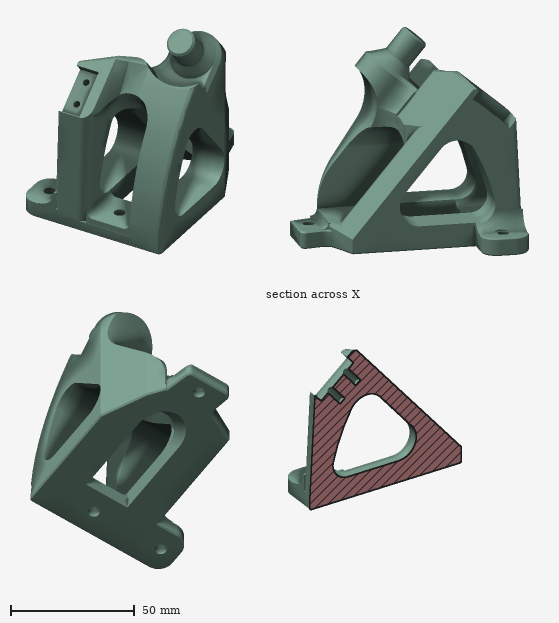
import cadquery as cq
import math

slope_angle = 50
slope_cos = math.cos(math.radians(slope_angle))
slope_sin = math.sin(math.radians(slope_angle))

body_left = 16.1
body_right = 66.0
body_back = 77.4
left_wall_back = 70.8
rear_corner_x = 29.9
edge_break = 0.6
far = 133.9

front_arc_radius = 91.95
front_arc_top_z = 84.8
front_edge_radius = 2.0
post_right = 31.0
post_foot_z = 4.7
post_block_top_z = 80.3
post_head_rise = 35.4
post_head_climb = 38.4
post_left_radius = 1.9
post_right_radius = 4.2
blend_right = 43.65
blend_low_rise = 37.5
blend_high_rise = 71.4
blend_back_rise = 46.4
blend_back_climb = 13.4
blend_mid = 35.7
blend_mid_low_z = 53.6
blend_mid_high = (29.5, 73.6)
blend_low_z = 57.1
blend_high_z = 72.3

roof_left_rise = 58.3
roof_tilt = 0.48
ridge_radius = 5.4

pin_x = 54.45
pin_rise = 78.1
pin_radius = 6.03
pin_tip_climb = 37.9
pin_chamfer = 0.9
cone_top_climb = 26.3
head_radius = body_right - pin_x
head_front_climb = 21.9
head_back_climb = 12.9
head_front_chamfer = 1.7
scoop_radius = 17
neck_radius = 7.7

rim_corners = [(body_left, 66.15), (30.9, 70.0), (36.15, 68.65), (42.85, 67.7)]
rim_scoop_low = (pin_x, 63.65)
rim_right = (body_right, 65.6)

fin_rise = 72.5
fin_back = 76.95
fin_bend_radius = 26.8
fin_taper_x = 51.9
fin_taper_mid = (56.9, 70.4)
fin_taper_end = (body_right, 51.3)

bay_left = post_right
bay_right = 51.1
bay_radius = (bay_right - bay_left) / 2
bay_x = (bay_left + bay_right) / 2
floor_z = 10.1
ear_top = 7.3
arch_top_z = 45.3
front_arch_z = 58.5
window_corner_radius = 3.0
bay_top_rise = 53.1
rear_round_width = 7.0
rear_round_left_y = 39.55
rear_round_right_y = 45.3
well_front = 19.6
gap_corner = (37.7, 46.8)
gap_mid = (41.6, 50)
gap_end = (42.9, 55.35)
side_window_arc_radius = 82.6
side_window_radius = 8.5
side_window_front_radius = 7.1

ear_back = 19.9
ear_radius = 6.8
bolt_diameter = 4.8
bolt_y = 10.2
left_bolt_x = 8
front_bolt_x = 40.9
rear_bolt = (39.9, 83.4)
spotface_diameter = 7.3
ear_fillet = 7.1
rear_ear_back = 89.3
rear_ear_front_x = (29.8, 51.5)
rear_ear_back_x = (27.85, 48.7)
rear_ear_radius = 2.2
rear_hollow_start = (27.7, 76.3)
rear_hollow_mid = (29.0, 77.8)
rear_hollow_end = (29.4, 80.1)
rear_ear_fillet = 2.7
rear_bevel_width = 3.1
rear_bevel_drop = 1.25

pocket_low_rise = 35.7
pocket_high_rise = 55.9
pocket_floor_climb = 33.9
pocket_floor_x = 25.9
pocket_face_x = 26.5
screw_diameter = 2.9
screw_x = 20.9
screw_rises = (41.5, 51.3)
screw_depth = 8.9


def side_point(rise, climb):
    """(Y, Z) of a point given in slope coordinates."""
    y = rise * slope_sin - climb * slope_cos
    z = rise * slope_cos + climb * slope_sin
    return (y, z)


def side_plane(x):
    """Sketch plane at X = x with sketch axes Y and Z, facing +X."""
    return cq.Workplane("YZ", origin=(x, 0, 0))


def slope_plane(climb):
    """Sketch plane square to the slope with sketch axes X and rise, facing up the slope."""
    origin = (0, -climb * slope_cos, climb * slope_sin)
    return cq.Workplane(cq.Plane(origin, (1, 0, 0), (0, -slope_cos, slope_sin)))


def front_arc_y(z, radius=front_arc_radius):
    """Y of an arc about the centre of the curved front."""
    return front_arc_radius - math.sqrt(radius ** 2 - z ** 2)


def make_post():
    """Flat, leaning post on the left with a head square to the slope."""
    head_foot_y, head_foot_z = side_point(post_head_rise, post_head_climb)
    lean = head_foot_y / (head_foot_z - post_foot_z)
    top_z = post_block_top_z
    top_y = lean * (top_z - post_foot_z)
    edge_mid = (top_y / 2, (post_foot_z + top_z) / 2)
    left_edge = cq.selectors.NearestToPointSelector((body_left, *edge_mid))
    right_edge = cq.selectors.NearestToPointSelector((post_right, *edge_mid))
    below_head = slope_plane(post_head_climb).rect(2 * far, 2 * far).extrude(-2 * far)
    return (
        side_plane(body_left)
        .polyline([(0, post_foot_z), (top_y, top_z), (body_back, top_z), (body_back, post_foot_z)])
        .close()
        .extrude(post_right - body_left)
        .edges(left_edge).fillet(post_left_radius)
        .edges(right_edge).fillet(post_right_radius)
        .intersect(below_head)
    )


def make_curved_front():
    """Right part of the body with its front bowed back in an arc."""
    top_z = front_arc_top_z
    mid_z = top_z / 2
    right_edge = cq.selectors.NearestToPointSelector((body_right, front_arc_y(mid_z), mid_z))
    return (
        side_plane(post_right)
        .moveTo(0, 0)
        .threePointArc((front_arc_y(mid_z), mid_z), (front_arc_y(top_z), top_z))
        .lineTo(body_back, top_z)
        .lineTo(body_back, 0)
        .close()
        .extrude(body_right - post_right)
        .edges(right_edge)
        .fillet(front_edge_radius)
    )


def make_blend():
    """Ruled wedge leading from the head of the post back to the curved front."""
    back_edge = [
        side_point(blend_high_rise, blend_back_climb),
        side_point(blend_back_rise, blend_back_climb),
    ]
    post_side = [
        side_point(blend_low_rise, post_head_climb),
        side_point(blend_high_rise, post_head_climb),
        *back_edge,
    ]
    mid_low = (front_arc_y(blend_mid_low_z), blend_mid_low_z)
    mid_z = (blend_low_z + blend_high_z) / 2
    return (
        side_plane(post_right)
        .polyline(post_side).close()
        .workplane(offset=blend_mid - post_right)
        .polyline([mid_low, blend_mid_high, *back_edge]).close()
        .workplane(offset=blend_right - blend_mid)
        .moveTo(front_arc_y(blend_low_z), blend_low_z)
        .threePointArc((front_arc_y(mid_z), mid_z), (front_arc_y(blend_high_z), blend_high_z))
        .lineTo(*back_edge[0])
        .lineTo(*back_edge[1])
        .close()
        .loft(ruled=True)
    )


def roof_rise(x):
    """Rise of the tilted roof at a given X."""
    return roof_left_rise + roof_tilt * (x - body_left)


def make_roof_section():
    """Everything below the tilted roof and clear of the scoop around the pin."""
    roof = (
        slope_plane(-far)
        .polyline([
            (body_left, -far),
            (body_left, roof_rise(body_left)),
            (body_right, roof_rise(body_right)),
            (body_right, -far),
        ])
        .close()
        .extrude(2 * far)
    )
    scoop = slope_plane(-far).center(pin_x, pin_rise).circle(scoop_radius).extrude(2 * far)
    ridge = cq.selectors.BoxSelector((bay_left, -far, -far), (pin_x - 0.9, far, far), boundingbox=False)
    return roof.cut(scoop).edges(ridge).fillet(ridge_radius)


def make_rim_cap():
    """Everything below the flat rim along the front edge of the roof."""
    return (
        cq.Workplane("XZ")
        .moveTo(body_left, 0)
        .polyline(rim_corners, includeCurrent=True)
        .threePointArc(rim_scoop_low, rim_right)
        .lineTo(body_right, 0)
        .close()
        .extrude(-far)
    )


def make_head_and_fin():
    """Round head square to the slope, flowing down its back into the fin."""
    bend_centre_y = fin_back - fin_bend_radius
    bend_start_z = (fin_rise - fin_bend_radius - bend_centre_y * slope_sin) / slope_cos
    bend_centre = (bend_centre_y, bend_start_z)
    half_turn = math.radians((90 - slope_angle) / 2)
    bend_mid = (
        bend_centre[0] + fin_bend_radius * math.cos(half_turn),
        bend_centre[1] + fin_bend_radius * math.sin(half_turn),
    )
    bend_end = (
        bend_centre[0] + fin_bend_radius * slope_sin,
        bend_centre[1] + fin_bend_radius * slope_cos,
    )
    top_rise = pin_rise + head_radius
    hollow_radius = top_rise - fin_rise
    hollow_mid = hollow_radius * math.sqrt(0.5)
    hollow_climb = head_back_climb - hollow_radius
    profile = (
        side_plane(body_left)
        .moveTo(*side_point(roof_left_rise, head_front_climb))
        .lineTo(*side_point(top_rise, head_front_climb))
        .lineTo(*side_point(top_rise, head_back_climb))
        .threePointArc(
            side_point(top_rise - hollow_mid, hollow_climb + hollow_mid),
            side_point(fin_rise, hollow_climb))
        .lineTo(*bend_end)
        .threePointArc(bend_mid, (fin_back, bend_start_z))
        .lineTo(fin_back, 0)
        .lineTo(fin_back / 2, 0)
        .close()
        .extrude(body_right - body_left)
    )
    neck_x = pin_x - head_radius - neck_radius
    neck_rise = roof_rise(neck_x) + neck_radius * math.hypot(1, roof_tilt)
    neck_turn = math.pi / 2 - math.atan(roof_tilt)

    def neck_point(share):
        angle = -neck_turn * share
        return (neck_x + neck_radius * math.cos(angle), neck_rise + neck_radius * math.sin(angle))

    keyhole = (
        slope_plane(-far)
        .moveTo(neck_point(1)[0], 0)
        .lineTo(*neck_point(1))
        .threePointArc(neck_point(0.5), neck_point(0))
        .lineTo(pin_x - head_radius, pin_rise)
        .threePointArc((pin_x, top_rise), (body_right, pin_rise))
        .lineTo(body_right, 0)
        .close()
        .extrude(far + head_front_climb)
        .faces(cq.selectors.DirectionMinMaxSelector(cq.Vector(0, -slope_cos, slope_sin)))
        .chamfer(head_front_chamfer)
    )
    return profile.intersect(keyhole)


def make_pin():
    """Pin with a chamfered tip, standing on a cone on the front of the head."""
    cone = (
        slope_plane(head_front_climb)
        .center(pin_x, pin_rise)
        .circle(head_radius - head_front_chamfer)
        .workplane(offset=cone_top_climb - head_front_climb)
        .circle(pin_radius)
        .loft()
    )
    pin = (
        slope_plane(head_front_climb)
        .center(pin_x, pin_rise)
        .circle(pin_radius)
        .extrude(pin_tip_climb - head_front_climb)
        .edges(cq.selectors.DirectionMinMaxSelector(cq.Vector(0, -slope_cos, slope_sin)))
        .chamfer(pin_chamfer)
    )
    return cone.union(pin)


def make_plan():
    """Outline of the body seen from above."""
    return (
        cq.Workplane("XY")
        .moveTo(body_left, 0)
        .lineTo(body_right - front_edge_radius, 0)
        .radiusArc((body_right, front_edge_radius), -front_edge_radius)
        .lineTo(*fin_taper_end)
        .lineTo(*fin_taper_mid)
        .lineTo(fin_taper_x, body_back)
        .lineTo(rear_corner_x, body_back)
        .lineTo(body_left, left_wall_back)
        .close()
        .extrude(far)
    )


def make_left_foot(height):
    """Plain block with the outline of the left ear."""
    return (
        cq.Workplane("XY")
        .rect(body_left + 1.8, ear_back, centered=False)
        .extrude(height)
        .edges("|Z and <X")
        .fillet(ear_radius)
    )


def make_left_ear():
    """Rounded foot with a hollow fillet climbing the side of the post."""
    ear = (
        make_left_foot(ear_top)
        .faces(">Z")
        .edges("not >X")
        .fillet(edge_break)
    )
    fillet_start = body_left - ear_fillet
    fillet_top = ear_top + ear_fillet
    arc_reach = ear_fillet * math.sqrt(0.5)
    web = (
        cq.Workplane("XZ")
        .moveTo(fillet_start, ear_top)
        .threePointArc((fillet_start + arc_reach, fillet_top - arc_reach), (body_left, fillet_top))
        .lineTo(body_left + 0.9, fillet_top)
        .lineTo(body_left + 0.9, ear_top - edge_break)
        .lineTo(fillet_start, ear_top - edge_break)
        .close()
        .extrude(-ear_back)
    )
    return ear.union(web)


def make_rear_foot(height):
    """Plain block with the outline of the rear ear."""
    front_right = rear_ear_front_x[1]
    back_left, back_right = rear_ear_back_x
    return (
        cq.Workplane("XY")
        .moveTo(front_right, body_back - 1.8)
        .lineTo(*rear_hollow_start)
        .threePointArc(rear_hollow_mid, rear_hollow_end)
        .lineTo(back_left, rear_ear_back)
        .lineTo(back_right, rear_ear_back)
        .lineTo(front_right, body_back)
        .close()
        .extrude(height)
        .edges("|Z and >Y")
        .fillet(rear_ear_radius)
    )


def make_rear_ear():
    """Tapered foot behind the body, with a hollow fillet up to the bay floor."""
    front_left, front_right = rear_ear_front_x
    back_right = rear_ear_back_x[1]
    bevel_corners = [
        (rear_bevel_width, -rear_bevel_drop * 2),
        (-rear_bevel_width, 0),
        (-rear_bevel_width, 0.9),
        (rear_bevel_width, 0.9),
    ]
    bevel = (
        cq.Workplane("XZ", origin=(back_right, rear_ear_back, ear_top))
        .polyline(bevel_corners).close()
        .workplane(offset=rear_ear_back - body_back)
        .center(front_right - back_right, 0)
        .polyline(bevel_corners).close()
        .loft(ruled=True)
    )
    ear = (
        make_rear_foot(ear_top)
        .faces(">Z")
        .edges("not <Y")
        .chamfer(edge_break)
        .cut(bevel)
    )
    fillet_back = body_back + rear_ear_fillet
    fillet_top = ear_top + rear_ear_fillet
    arc_reach = rear_ear_fillet * math.sqrt(0.5)
    web = (
        side_plane(front_left)
        .moveTo(fillet_back, ear_top)
        .threePointArc((fillet_back - arc_reach, fillet_top - arc_reach), (body_back, fillet_top))
        .lineTo(body_back - 0.9, fillet_top)
        .lineTo(body_back - 0.9, ear_top - edge_break)
        .lineTo(fillet_back, ear_top - edge_break)
        .close()
        .extrude(fin_taper_x - 0.9 - front_left)
    )
    return ear.union(web)


def make_footprint():
    """Outline of the whole part seen from above, with its bottom edge broken."""
    outline = make_plan().union(make_left_foot(far)).union(make_rear_foot(far))
    return outline.faces("<Z").edges().chamfer(edge_break)


def make_side_window():
    """Three-cornered opening through both side walls, following front, roof and floor."""
    radius = side_window_arc_radius
    floor_climb = (floor_z - bay_top_rise * slope_cos) / slope_sin
    centre_rise = front_arc_radius * slope_sin
    centre_climb = -front_arc_radius * slope_cos
    crossing_climb = centre_climb + math.sqrt(radius ** 2 - (centre_rise - bay_top_rise) ** 2)
    crossing = side_point(bay_top_rise, crossing_climb)
    arc_mid_z = (floor_z + crossing[1]) / 2
    return (
        side_plane(0)
        .moveTo(front_arc_y(floor_z, radius), floor_z)
        .threePointArc((front_arc_y(arc_mid_z, radius), arc_mid_z), crossing)
        .lineTo(*side_point(bay_top_rise, floor_climb))
        .close()
        .extrude(far)
        .edges("|X and <Y")
        .fillet(side_window_front_radius)
        .edges("|X and (>Y or >Z)")
        .fillet(side_window_radius)
    )


def make_bay():
    """Round-topped bay running up the slope, above a front floor and open through the base."""
    spring_rise = bay_top_rise - bay_radius
    slot = (
        slope_plane(-far)
        .moveTo(bay_left, -far)
        .lineTo(bay_left, spring_rise)
        .threePointArc((bay_x, bay_top_rise), (bay_right, spring_rise))
        .lineTo(bay_right, -far)
        .close()
        .extrude(2 * far)
    )
    spring_z = front_arch_z - bay_radius
    above_front_floor = (
        cq.Workplane("XZ", origin=(0, -0.9, 0))
        .moveTo(bay_left, ear_top)
        .lineTo(bay_left, spring_z)
        .threePointArc((bay_x, front_arch_z), (bay_right, spring_z))
        .lineTo(bay_right, ear_top)
        .close()
        .extrude(-far)
        .edges("|Y and <Z")
        .fillet(window_corner_radius)
    )
    behind_front_floor = (
        cq.Workplane("XY", origin=(bay_left, well_front, -0.9))
        .rect(bay_right - bay_left, far, centered=False)
        .extrude(spring_z / 2)
    )
    return slot.intersect(above_front_floor.union(behind_front_floor))


def make_rear_opening():
    """Arched passage out of the back of the bay, and the gap beside the head above it."""
    spring = arch_top_z - bay_radius
    passage = (
        cq.Workplane("XZ", origin=(0, well_front, 0))
        .moveTo(bay_left, floor_z)
        .lineTo(bay_left, spring)
        .threePointArc((bay_x, arch_top_z), (bay_right, spring))
        .lineTo(bay_right, floor_z)
        .close()
        .extrude(-far)
    )
    gap = (
        cq.Workplane("XY", origin=(0, 0, floor_z))
        .moveTo(bay_left, rear_round_right_y)
        .lineTo(*gap_corner)
        .threePointArc(gap_mid, gap_end)
        .lineTo(gap_end[0], far)
        .lineTo(bay_left, far)
        .close()
        .extrude(far)
    )
    return passage.union(gap)


def make_rear_rounding():
    """Waste outside the large round between the tilted roof and the bay's left side."""
    start_x = bay_left - rear_round_width
    start = (start_x, roof_rise(start_x))
    corner = (bay_left, roof_rise(bay_left))
    tangent = math.dist(start, corner)
    half_corner = math.atan2(1, roof_tilt) / 2
    radius = tangent * math.tan(half_corner)
    end = (bay_left, corner[1] - tangent)
    centre_distance = math.hypot(tangent, radius)
    share = radius / centre_distance
    centre = (bay_left - radius, end[1])
    middle = (
        centre[0] + share * (corner[0] - centre[0]),
        centre[1] + share * (corner[1] - centre[1]),
    )
    round_waste = (
        slope_plane(-far)
        .moveTo(*start)
        .threePointArc(middle, end)
        .lineTo(bay_left + 0.9, end[1])
        .lineTo(bay_left + 0.9, corner[1] + 0.9)
        .lineTo(bay_left, corner[1] + 0.9)
        .lineTo(start[0], start[1] + 0.9)
        .close()
        .extrude(2 * far)
    )
    reach = (
        cq.Workplane("XY", origin=(0, 0, floor_z))
        .polyline([
            (start_x, rear_round_left_y),
            (bay_left + 0.9, rear_round_right_y),
            (bay_left + 0.9, far),
            (start_x, far),
        ])
        .close()
        .extrude(far)
    )
    return round_waste.intersect(reach)


def make_bolt_holes():
    """Bolt holes through the three feet, with a spotface on the left one."""
    bolts = [(left_bolt_x, bolt_y), (front_bolt_x, bolt_y), rear_bolt]
    holes = cq.Workplane("XY").pushPoints(bolts).circle(bolt_diameter / 2).extrude(ear_top + 0.9)
    spotface = (
        cq.Workplane("XY", origin=(left_bolt_x, bolt_y, ear_top))
        .circle(spotface_diameter / 2)
        .extrude(ear_fillet)
    )
    return holes.union(spotface)


def make_screw_pocket():
    """Pocket square to the post head, open on the left, with two screw holes in its floor."""
    pocket_foot = side_point(pocket_low_rise, 0)
    pocket = (
        cq.Workplane(cq.Plane((0, *pocket_foot), (1, 0, 0), (0, slope_sin, slope_cos)))
        .polyline([
            (body_left - 0.9, -pocket_floor_climb),
            (pocket_floor_x, -pocket_floor_climb),
            (pocket_face_x, -post_head_climb - edge_break),
            (body_left - 0.9, -post_head_climb - edge_break),
        ])
        .close()
        .extrude(pocket_high_rise - pocket_low_rise)
    )
    screws = (
        slope_plane(pocket_floor_climb - screw_depth)
        .pushPoints([(screw_x, rise) for rise in screw_rises])
        .circle(screw_diameter / 2)
        .extrude(screw_depth + 0.9)
    )
    return pocket.union(screws)


front = make_post().union(make_curved_front()).union(make_blend())
front = front.intersect(make_roof_section()).intersect(make_rim_cap())
base = cq.Workplane("XY").box(bay_right - body_left, body_back, post_foot_z, centered=False)
body = front.union(base.translate((body_left, 0, 0)))
body = body.union(make_head_and_fin()).intersect(make_plan()).union(make_pin())
body = body.union(make_left_ear()).union(make_rear_ear())
body = body.cut(make_side_window()).cut(make_bay())
body = body.cut(make_rear_opening()).cut(make_rear_rounding())
body = body.cut(make_bolt_holes()).cut(make_screw_pocket())
result = body.intersect(make_footprint())